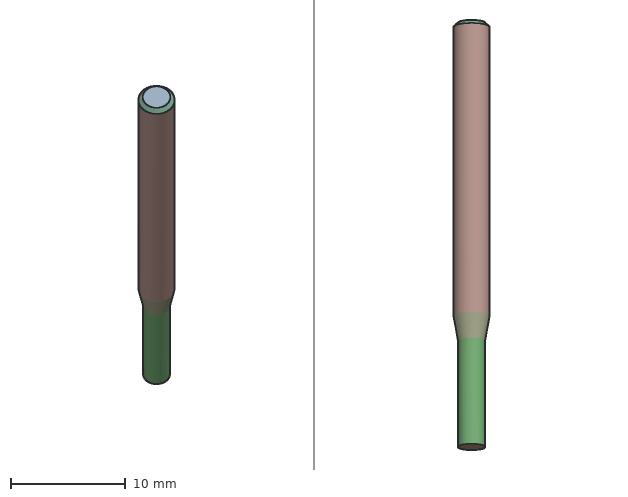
import cadquery as cq
import math

SHANK_DIAMETER = 3.175
TIP_DIAMETER = 2.38
OVERALL_LENGTH = 38.1
TIP_LENGTH = 9.525
TAPER_HALF_ANGLE = 10.0
SHANK_CHAMFER = 0.381

SHANK_RADIUS = SHANK_DIAMETER / 2
TIP_RADIUS = TIP_DIAMETER / 2
TAPER_LENGTH = (SHANK_RADIUS - TIP_RADIUS) / math.tan(math.radians(TAPER_HALF_ANGLE))
SHANK_START = TIP_LENGTH + TAPER_LENGTH


def turned_body():
    """Revolve the half profile of tip, taper and shank about Z."""
    profile = (
        cq.Workplane("XZ")
        .lineTo(TIP_RADIUS, 0)
        .lineTo(TIP_RADIUS, TIP_LENGTH)
        .lineTo(SHANK_RADIUS, SHANK_START)
        .lineTo(SHANK_RADIUS, OVERALL_LENGTH)
        .lineTo(0, OVERALL_LENGTH)
        .close()
    )
    return profile.revolve(360, (0, 0, 0), (0, 1, 0))


def chamfer_shank_end(body):
    """Break the edge at the free end of the shank."""
    return body.faces(">Z").chamfer(SHANK_CHAMFER)


result = chamfer_shank_end(turned_body())